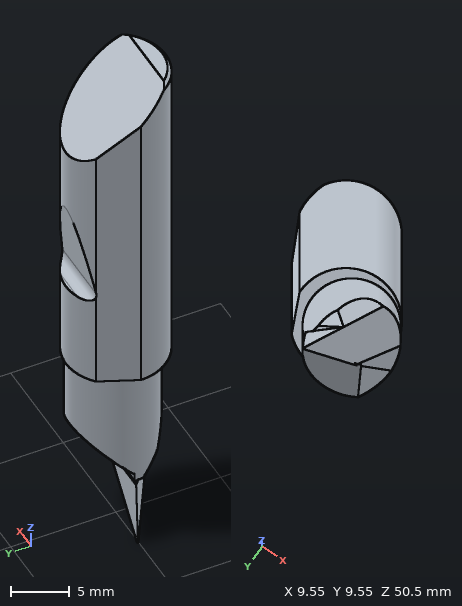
import cadquery as cq
import math

total_length = 50.45
shank_diameter = 9.55
shank_radius = shank_diameter / 2
shank_bottom = 18.75
top_chamfer = 0.35
bevel_front_y = -2.95
flat_half_angle = 23.7

notch_bottom = 27.55
notch_top = 36.4
notch_floor_y = 3.3
notch_root_radius = 1.0

neck_radius = 4.2
neck_x = shank_radius - neck_radius
blade_top = 6.35
back_bevel_bottom = 7.1

blade_back_y = 0.1
ridge_foot = cq.Vector(-4.2, -0.1, 0.25)
blade_shoulder = cq.Vector(-4.1, blade_back_y, blade_top)
ridge_top = cq.Vector(1.05, -4.2, 12.85)
heel = cq.Vector(1.0, blade_back_y, 6.15)
heel_top = cq.Vector(shank_radius, blade_back_y, 12.7)
side_facet_top = cq.Vector(4.15, -2.2, 13.25)
relief_left = cq.Vector(-3.5, -0.95, blade_top)
relief_top = cq.Vector(-2.4, -2.9, 8.25)

cutter_size = 3 * total_length


def cut_facet(body, first, second, third, outward):
    """Remove what lies beyond the plane through three points, on the outward side."""
    normal = (second - first).cross(third - first)
    if normal.dot(cq.Vector(*outward)) < 0:
        normal = normal * -1
    plane = cq.Plane(origin=first, normal=normal)
    cutter = cq.Workplane(plane).rect(cutter_size, cutter_size).extrude(cutter_size)
    return body.cut(cutter)


def cut_underside(body):
    """Cut the two downward facets: the main clearance and the heel clearance."""
    body = cut_facet(body, ridge_foot, ridge_top, heel, (0, 0, -1))
    return cut_facet(body, heel, heel_top, side_facet_top, (0, 0, -1))


def along_x(points):
    """Prism across the whole tool with the given YZ outline."""
    return cq.Workplane("YZ").polyline(points).close().extrude(total_length, both=True)


def make_shank():
    shank = cq.Workplane("XY").workplane(offset=shank_bottom)
    shank = shank.circle(shank_radius).extrude(total_length - shank_bottom)
    shank = shank.faces(">Z").chamfer(top_chamfer)

    flat_distance = shank_radius * math.cos(math.radians(flat_half_angle))
    flat = cq.Workplane("XY").box(
        shank_radius, shank_diameter, total_length, centered=(False, True, False)
    )
    flat = flat.translate((flat_distance, 0, 0))
    shank = shank.cut(flat.rotate((0, 0, 0), (0, 0, 1), 180 - flat_half_angle))

    bevel_run = shank_diameter
    bevel = along_x([
        (bevel_front_y, total_length),
        (bevel_front_y + bevel_run, total_length),
        (bevel_front_y + bevel_run, total_length - bevel_run),
    ])
    shank = shank.cut(bevel)

    notch = along_x([
        (shank_radius, notch_top),
        (notch_floor_y, notch_bottom),
        (shank_radius, notch_bottom),
    ])
    notch = notch.edges("<Y").fillet(notch_root_radius)
    return shank.cut(notch)


def make_neck():
    neck = cq.Workplane("XY").workplane(offset=blade_top).center(neck_x, 0)
    neck = neck.circle(neck_radius).extrude(shank_bottom - blade_top)

    back_bevel = along_x([
        (0, 0),
        (0, back_bevel_bottom),
        (shank_radius, back_bevel_bottom + shank_radius),
        (shank_radius, 0),
    ])
    neck = cut_underside(neck.cut(back_bevel))

    straight_back = heel + cq.Vector(0, 0.5, 0)
    neck = cut_facet(neck, heel, heel_top, straight_back, (0, 0, -1))

    across = ridge_top + cq.Vector(0.5, 0, 0)
    neck = cut_facet(neck, ridge_foot, ridge_top, across, (0, -1, 0))

    rise_share = (blade_top - ridge_foot.z) / (ridge_top.z - ridge_foot.z)
    ridge_point = ridge_foot + (ridge_top - ridge_foot) * rise_share
    return cut_facet(neck, relief_left, relief_top, ridge_point, (0, -1, -1))


def make_blade():
    blade = cq.Workplane("XY").box(
        shank_diameter, shank_radius + blade_back_y, blade_top, centered=(True, False, False)
    )
    blade = blade.translate((0, -shank_radius, 0))
    blade = cut_underside(blade)
    return cut_facet(blade, ridge_foot, ridge_top, blade_shoulder, (-1, -1, 0))


result = make_shank().union(make_neck()).union(make_blade())